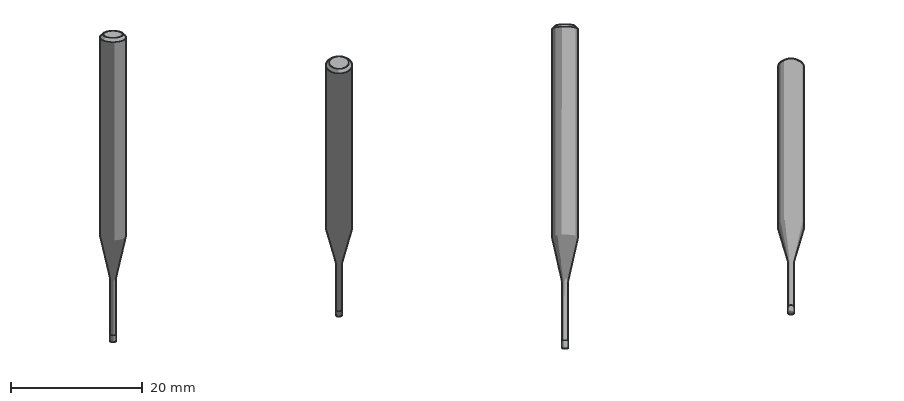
import cadquery as cq
import math


overall_length = 50.0
shank_diameter = 4.0
shank_chamfer = 0.5

cutter_diameter = 1.0
cutter_length = 1.2
corner_radius = 0.2

neck_diameter = 0.96
neck_end_z = 10.0
blend_radius = 3.5
taper_half_angle = 12.5

shank_radius = shank_diameter / 2
cutter_radius = cutter_diameter / 2
neck_radius = neck_diameter / 2
taper_slope = math.tan(math.radians(taper_half_angle))


def blend_point(angle_degrees):
    """Radius and height on the concave blend, which leaves the neck tangentially at neck_end_z."""
    angle = math.radians(angle_degrees)
    radius = neck_radius + blend_radius * (1 - math.cos(angle))
    height = neck_end_z + blend_radius * math.sin(angle)
    return radius, height


def make_cutter():
    """Cutting tip: a short cylinder with a rounded bottom corner."""
    tip = cq.Workplane("XY").circle(cutter_radius).extrude(cutter_length)
    return tip.faces("<Z").edges().fillet(corner_radius)


def make_shank():
    """Neck, blended taper and chamfered shank, turned as one profile above the cutter."""
    blend_middle = blend_point(taper_half_angle / 2)
    blend_end = blend_point(taper_half_angle)
    blend_end_radius, blend_end_z = blend_end
    shank_start_z = blend_end_z + (shank_radius - blend_end_radius) / taper_slope
    profile = (
        cq.Workplane("XZ")
        .moveTo(0, cutter_length)
        .lineTo(neck_radius, cutter_length)
        .lineTo(neck_radius, neck_end_z)
        .threePointArc(blend_middle, blend_end)
        .lineTo(shank_radius, shank_start_z)
        .lineTo(shank_radius, overall_length - shank_chamfer)
        .lineTo(shank_radius - shank_chamfer, overall_length)
        .lineTo(0, overall_length)
        .close()
    )
    return profile.revolve(360, (0, 0, 0), (0, 1, 0))


cutter = make_cutter()
shank = make_shank()

result = cq.Compound.makeCompound([cutter.val(), shank.val()])